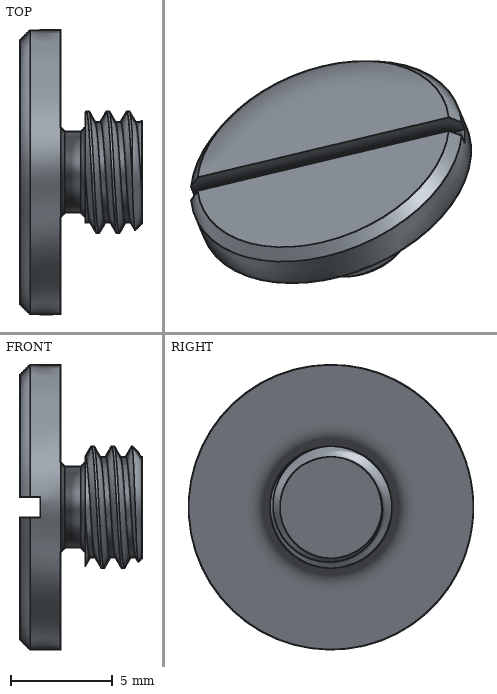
import cadquery as cq
import math

head_diameter = 14.0
head_height = 2.0
head_chamfer = 0.5
slot_width = 1.0
slot_depth = 1.0

neck_radius = 2.0
neck_end = 3.2
neck_flare = 0.21

total_length = 6.0
thread_radius = 3.0
root_radius = 2.48
pitch = 1.0
crest_width = pitch / 8
flank_angle = math.radians(30)
tip_chamfer = 0.49
crest_position = 4.07
root_overlap = 0.07
trim_clearance = 0.04
run_in_turns = 2
thread_turns = 5


def revolve_about_x(sketch):
    return sketch.close().revolve(360, (0, 0, 0), (1, 0, 0))


def make_head():
    radius = head_diameter / 2
    head = revolve_about_x(
        cq.Workplane("XY")
        .lineTo(0, radius - head_chamfer)
        .lineTo(head_chamfer, radius)
        .lineTo(head_height, radius)
        .lineTo(head_height, 0)
    )
    slot = cq.Workplane("XY").box(
        slot_depth, head_diameter, slot_width, centered=(False, True, True)
    )
    return head.cut(slot)


def make_neck():
    """Cylinder that flares at 45 degrees into the head and the thread."""
    flare_radius = neck_radius + neck_flare
    return revolve_about_x(
        cq.Workplane("XY")
        .moveTo(head_height, 0)
        .lineTo(head_height, flare_radius)
        .lineTo(head_height + neck_flare, neck_radius)
        .lineTo(neck_end - neck_flare, neck_radius)
        .lineTo(neck_end, flare_radius)
        .lineTo(neck_end, 0)
    )


def make_ridge():
    """Helical trapezoid, swept along Z and then laid along X."""
    base_radius = root_radius - root_overlap
    half_crest = crest_width / 2
    half_base = half_crest + (thread_radius - base_radius) * math.tan(flank_angle)
    start = crest_position - run_in_turns * pitch
    helix = cq.Wire.makeHelix(pitch, thread_turns * pitch, root_radius)
    ridge = (
        cq.Workplane("XZ")
        .polyline([
            (base_radius, -half_base),
            (thread_radius, -half_crest),
            (thread_radius, half_crest),
            (base_radius, half_base),
        ])
        .close()
        .sweep(cq.Workplane(helix), isFrenet=True)
    )
    return ridge.rotate((0, 0, 0), (0, 1, 0), 90).translate((start, 0, 0))


def make_thread():
    """Core and ridge, trimmed by square start and chamfered tip."""
    length = total_length - neck_end
    start_plane = cq.Workplane("YZ", origin=(neck_end, 0, 0))
    core = start_plane.circle(root_radius).extrude(length)
    envelope = (
        start_plane.circle(thread_radius + trim_clearance)
        .extrude(length)
        .faces(">X")
        .chamfer(tip_chamfer + trim_clearance)
    )
    return core.union(make_ridge().intersect(envelope))


result = make_head().union(make_neck()).union(make_thread())